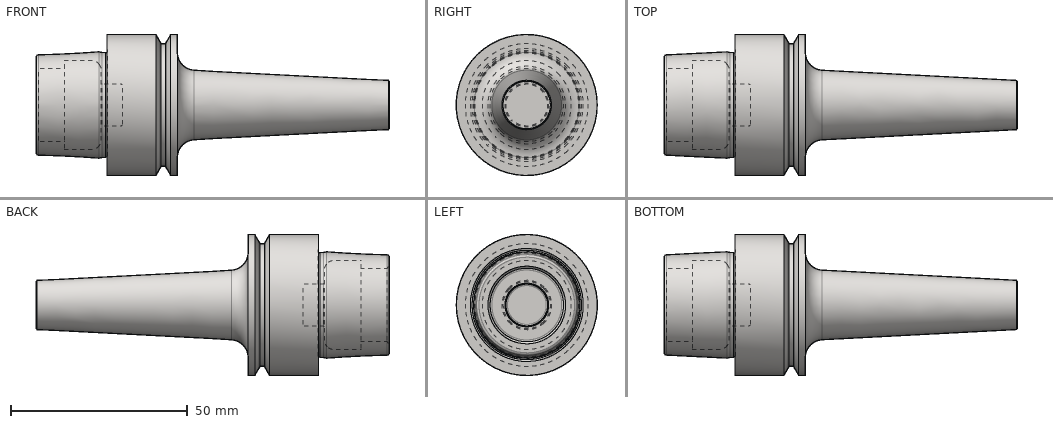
import cadquery as cq
import math

length = 100
flange_radius = 20
flange_start = 20
flange_end = 40

taper_large_radius = 15.1
taper_end = 17.8
taper_slope = 1 / 20
shank_rounding = 0.7
neck_start = 18.7
neck_end = 19.6
neck_radius = 14.9

undercut_depth = 0.2
undercut_inner_radius = 14.7
undercut_floor_radius = 15.5
undercut_mouth_radius = 16

groove_centre = 36
groove_mouth_width = 4.2
groove_wall_width = 1.9
groove_floor_width = 1.2
groove_wall_radius = 18
groove_floor_radius = 17.4

nose_radius = 7
nose_angle = math.radians(3)
nose_fillet = 5
nose_chamfer = 0.3

bore_radius = 10.4
mouth_chamfer_width = 0.6
mouth_chamfer_length = 0.7
chamber_start = 8
chamber_radius = 12.6
chamber_wall_end = 15.7
chamber_fillet = 2.7
pocket_radius = 5.9
pocket_chamfer = 0.3
pocket_fillet = 0.4
pocket_depth = 6


def taper_radius(x):
    return taper_large_radius - taper_slope * (taper_end - x)


def nose_cone_radius(x):
    return nose_radius + (length - x) * math.tan(nose_angle)


def arc_point(centre, radius, angle):
    """Point (x, radial distance) on an arc of the half profile."""
    return (centre[0] + radius * math.cos(angle), centre[1] + radius * math.sin(angle))


def add_rounded_floor(profile, wall_end, wall_radius, fillet):
    """Quarter arc from a cavity wall to a floor square to the axis."""
    centre = (wall_end, wall_radius - fillet)
    return profile.threePointArc(
        arc_point(centre, fillet, math.radians(45)),
        arc_point(centre, fillet, 0),
    )


def add_shank(profile):
    rounding_centre = (shank_rounding, taper_radius(shank_rounding) - shank_rounding)
    return (
        profile.lineTo(*arc_point(rounding_centre, shank_rounding, math.radians(180)))
        .threePointArc(
            arc_point(rounding_centre, shank_rounding, math.radians(135)),
            arc_point(rounding_centre, shank_rounding, math.radians(90)),
        )
        .lineTo(taper_end, taper_large_radius)
        .lineTo(neck_start, neck_radius)
        .lineTo(neck_end, neck_radius)
        .lineTo(flange_start, undercut_inner_radius)
        .lineTo(flange_start + undercut_depth, undercut_floor_radius)
        .lineTo(flange_start, undercut_mouth_radius)
    )


def add_flange(profile):
    left_wall = [
        (-groove_mouth_width / 2, flange_radius),
        (-groove_wall_width / 2, groove_wall_radius),
        (-groove_floor_width / 2, groove_floor_radius),
    ]
    right_wall = [(-offset, radius) for offset, radius in reversed(left_wall)]
    profile = profile.lineTo(flange_start, flange_radius)
    for offset, radius in left_wall + right_wall:
        profile = profile.lineTo(groove_centre + offset, radius)
    return profile.lineTo(flange_end, flange_radius)


def add_nose(profile):
    centre_x = flange_end + nose_fillet
    centre = (centre_x, nose_cone_radius(centre_x) + nose_fillet / math.cos(nose_angle))
    face_angle = math.radians(180)
    cone_angle = math.radians(270) - nose_angle
    chamfer_start = length - nose_chamfer
    return (
        profile.lineTo(*arc_point(centre, nose_fillet, face_angle))
        .threePointArc(
            arc_point(centre, nose_fillet, (face_angle + cone_angle) / 2),
            arc_point(centre, nose_fillet, cone_angle),
        )
        .lineTo(chamfer_start, nose_cone_radius(chamfer_start))
        .lineTo(length, nose_radius - nose_chamfer)
        .lineTo(length, 0)
    )


def revolve_about_axis(profile):
    return profile.close().revolve(360, (0, 0, 0), (1, 0, 0))


def make_body():
    return revolve_about_axis(add_nose(add_flange(add_shank(cq.Workplane("XY")))))


def make_bore():
    chamber_floor = chamber_wall_end + chamber_fillet
    pocket_floor = chamber_floor + pocket_depth
    profile = (
        cq.Workplane("XY")
        .lineTo(0, bore_radius + mouth_chamfer_width)
        .lineTo(mouth_chamfer_length, bore_radius)
        .lineTo(chamber_start, bore_radius)
        .lineTo(chamber_start, chamber_radius)
        .lineTo(chamber_wall_end, chamber_radius)
    )
    profile = add_rounded_floor(profile, chamber_wall_end, chamber_radius, chamber_fillet)
    pocket_wall_end = pocket_floor - pocket_fillet
    profile = (
        profile.lineTo(chamber_floor, pocket_radius + pocket_chamfer)
        .lineTo(chamber_floor + pocket_chamfer, pocket_radius)
        .lineTo(pocket_wall_end, pocket_radius)
    )
    profile = add_rounded_floor(profile, pocket_wall_end, pocket_radius, pocket_fillet)
    return revolve_about_axis(profile.lineTo(pocket_floor, 0))


result = make_body().cut(make_bore())